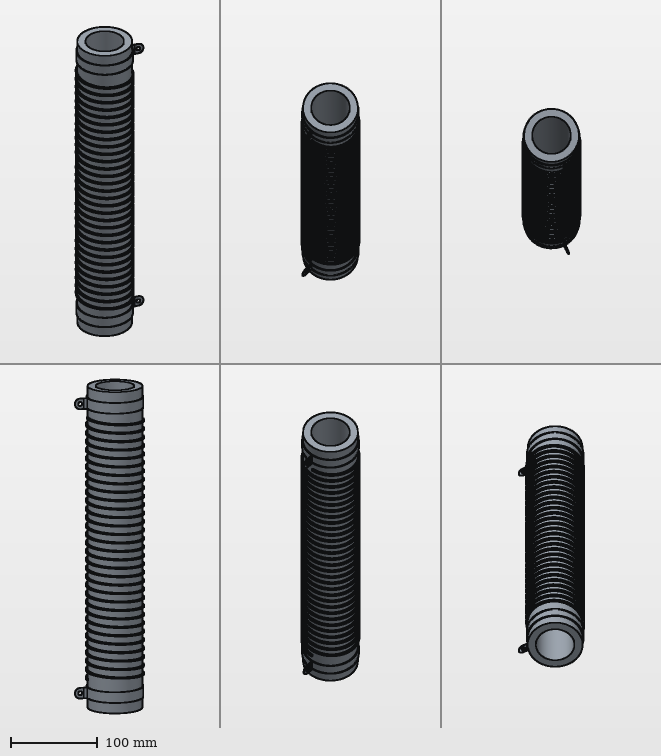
import cadquery as cq

LENGTH = 381.0
TUBE_DIAMETER = LENGTH / 6
TUBE_RADIUS = TUBE_DIAMETER / 2
BORE_RADIUS = 0.7 * TUBE_RADIUS

BAND_WIDTH = TUBE_DIAMETER / 5
BAND_INSET = BAND_WIDTH
BAND_THICKNESS = 1.0
BAND_RADIUS = TUBE_RADIUS + BAND_THICKNESS

TAB_THICKNESS = 0.8
TAB_REACH = BAND_RADIUS + 15.0
TAB_END_RADIUS = BAND_WIDTH / 2
TAB_HOLE_RADIUS = 2.3
ROOT_THICKNESS = BAND_THICKNESS
ROOT_REACH = BAND_RADIUS + 4.2

WIRE_DEPTH = 2.0
WIRE_WIDTH = 1.5
WIRE_EMBED = 0.2
COIL_START = 34.5
COIL_HEIGHT = 310.0
TURNS = 31
PITCH = COIL_HEIGHT / TURNS


def ring(outer_radius, bottom, height):
    """Round sleeve with the bore of the tube."""
    return (
        cq.Workplane("XY", origin=(0, 0, bottom))
        .circle(outer_radius)
        .circle(BORE_RADIUS)
        .extrude(height)
    )


def make_tab(bottom):
    """Flat tab with a rounded, drilled end and a thicker root."""
    top = bottom + BAND_WIDTH
    middle = (bottom + top) / 2
    round_start = TAB_REACH - TAB_END_RADIUS
    plate = (
        cq.Workplane("YZ")
        .moveTo(TUBE_RADIUS, bottom)
        .lineTo(round_start, bottom)
        .threePointArc((TAB_REACH, middle), (round_start, top))
        .lineTo(TUBE_RADIUS, top)
        .close()
        .extrude(TAB_THICKNESS / 2, both=True)
    )
    hole = (
        cq.Workplane("YZ")
        .center(round_start, middle)
        .circle(TAB_HOLE_RADIUS)
        .extrude(TAB_THICKNESS, both=True)
    )
    root = cq.Workplane("XY", origin=(0, TUBE_RADIUS, bottom)).box(
        ROOT_THICKNESS, ROOT_REACH - TUBE_RADIUS, BAND_WIDTH, centered=(True, False, False)
    )
    return plate.cut(hole).union(root)


def make_clamp(bottom):
    return ring(BAND_RADIUS, bottom, BAND_WIDTH).union(make_tab(bottom))


def make_winding():
    """Flat wire swept along a helix that starts and ends on the +Y side."""
    inner = TUBE_RADIUS - WIRE_EMBED
    outer = TUBE_RADIUS + WIRE_DEPTH
    path = cq.Wire.makeHelix(PITCH, COIL_HEIGHT, TUBE_RADIUS, lefthand=True)
    wire = (
        cq.Workplane("XZ")
        .center((inner + outer) / 2, 0)
        .rect(outer - inner, WIRE_WIDTH)
        .sweep(path, isFrenet=True)
    )
    return wire.rotate((0, 0, 0), (0, 0, 1), 90).translate((0, 0, COIL_START))


result = ring(TUBE_RADIUS, 0, LENGTH).union(make_winding())
for clamp_bottom in (BAND_INSET, LENGTH - BAND_INSET - BAND_WIDTH):
    result = result.union(make_clamp(clamp_bottom))